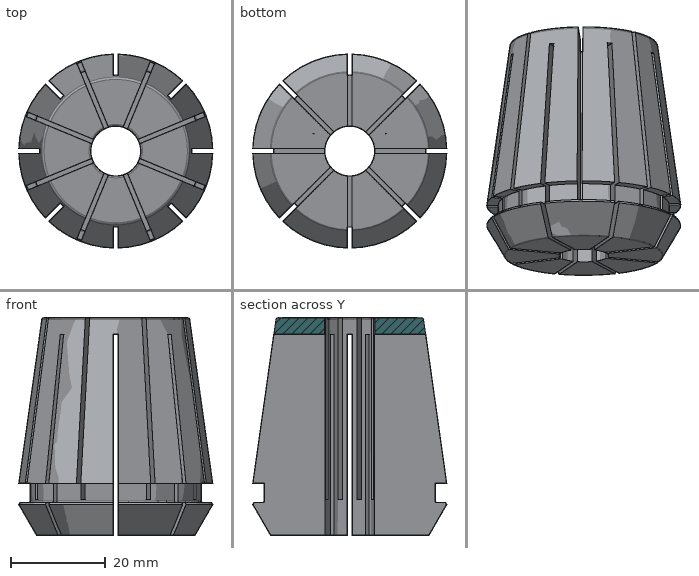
import cadquery as cq
import math

total_height = 46.0
max_radius = 20.5
bore_radius = 10.5 / 2

taper_angle = 8.0
taper_base_z = 11.0
top_radius = max_radius - (total_height - taper_base_z) * math.tan(math.radians(taper_angle))
top_fillet = 0.5
bore_fillet = 0.4

neck_radius = 18.1
flange_top_z = 7.0
flange_bevel_height = 0.45
flange_bevel_width = 0.3
neck_fillet = 0.25
nose_fillet = 0.2
nose_angle = 30.0
flange_rim_z = flange_top_z - flange_bevel_height
nose_radius = max_radius - flange_rim_z * math.tan(math.radians(nose_angle))

slots_per_end = 8
slot_width = 1.0
slot_pitch = 360.0 / slots_per_end
nose_slot_top_z = 42.5
upper_slot_floor_z = 7.6
slot_overrun = 1.0
slot_length = max_radius + slot_overrun


def collet_body():
    """Revolved wall of the collet with its rounded rims, before the slots are cut."""
    profile = [
        (bore_radius, 0),
        (nose_radius, 0),
        (max_radius, flange_rim_z),
        (max_radius - flange_bevel_width, flange_top_z),
        (neck_radius, flange_top_z),
        (neck_radius, taper_base_z),
        (max_radius, taper_base_z),
        (top_radius, total_height),
        (bore_radius, total_height),
    ]
    body = cq.Workplane("XZ").polyline(profile).close().revolve(360, (0, 0), (0, 1))
    outer_rim = cq.selectors.RadiusNthSelector(-1)
    inner_rim = cq.selectors.RadiusNthSelector(0)
    flange_top_face = cq.selectors.NearestToPointSelector((0, 0, flange_top_z))
    body = body.faces("|Z").faces(flange_top_face).edges(inner_rim).fillet(neck_fillet)
    body = body.faces(">Z").edges(outer_rim).fillet(top_fillet)
    body = body.faces("<Z").edges(outer_rim).fillet(nose_fillet)
    return body.faces(">Z").edges(inner_rim).fillet(bore_fillet)


def cut_radial_slots(body, first_angle, bottom_z, top_z):
    """Cut one set of equally spaced slots, each running from the axis outwards."""
    blade = cq.Workplane("XY").workplane(offset=bottom_z)
    blade = blade.box(slot_length, slot_width, top_z - bottom_z, centered=(False, True, False))
    for index in range(slots_per_end):
        angle = first_angle + index * slot_pitch
        body = body.cut(blade.rotate((0, 0, 0), (0, 0, 1), angle))
    return body


result = collet_body()
result = cut_radial_slots(result, 0, 0, nose_slot_top_z)
result = cut_radial_slots(result, slot_pitch / 2, upper_slot_floor_z, total_height)